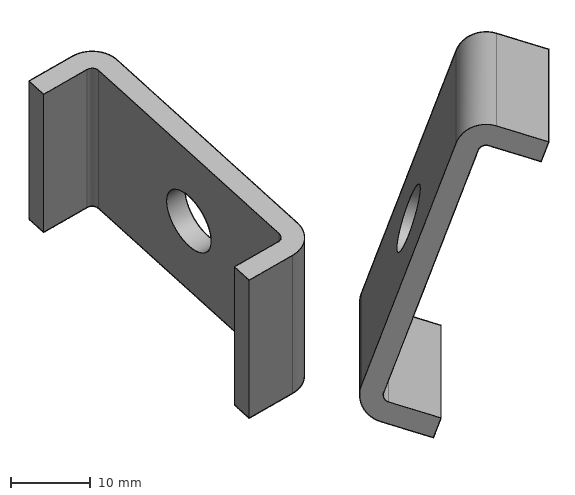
import cadquery as cq

width = 44.5
depth = 11.0
height = 25.0

thickness = 3.0
inner_bend_radius = 1.02
outer_bend_radius = inner_bend_radius + thickness

hole_diameter = 9.0


def make_channel():
    """U-shaped channel, open toward -Y, with concentric rounded bends."""
    outer = cq.Workplane("XY").box(width, depth, height)
    outer = outer.edges("|Z and >Y").fillet(outer_bend_radius)

    cavity = (
        cq.Workplane("XY")
        .box(width - 2 * thickness, depth, height)
        .edges("|Z and >Y")
        .fillet(inner_bend_radius)
        .translate((0, -thickness, 0))
    )
    return outer.cut(cavity)


def make_hole():
    """Cylinder along Y for the round hole through the centre of the web."""
    return cq.Workplane("XZ").circle(hole_diameter / 2).extrude(depth / 2, both=True)


result = make_channel().cut(make_hole())